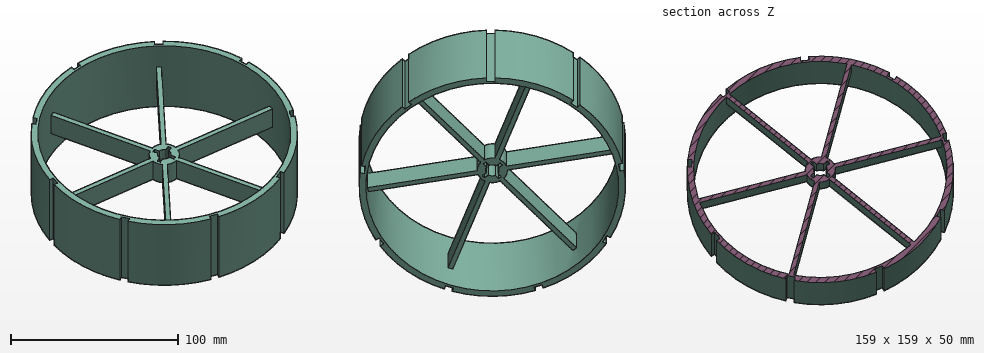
import cadquery as cq

rim_outer_radius = 79.5
rim_wall = 4.0
rim_height = 50.0
rim_inner_radius = rim_outer_radius - rim_wall

groove_count = 9
groove_width = 5.0
groove_depth = 2.5

web_thickness = 15.0
web_bottom = (rim_height - web_thickness) / 2
hub_radius = 9.0
spoke_count = 6
spoke_width = 3.0

bore_radius = 4.0
keyway_length = 14.0
keyway_width = 2.0


def rim():
    return (
        cq.Workplane("XY")
        .circle(rim_outer_radius)
        .circle(rim_inner_radius)
        .extrude(rim_height)
    )


def groove(angle):
    """Cutter for one groove, running well past the outer surface."""
    floor_radius = rim_outer_radius - groove_depth
    return (
        cq.Workplane("XY")
        .box(2 * groove_depth, groove_width, rim_height, centered=(False, True, False))
        .translate((floor_radius, 0, 0))
        .rotate((0, 0, 0), (0, 0, 1), angle)
    )


def hub():
    return cq.Workplane("XY", origin=(0, 0, web_bottom)).circle(hub_radius).extrude(web_thickness)


def spoke(angle):
    """Flat spoke from the axis to the inside of the rim, slightly embedded in the wall."""
    embed = (rim_wall - groove_depth) / 2
    return (
        cq.Workplane("XY")
        .box(rim_inner_radius + embed, spoke_width, web_thickness, centered=(False, True, False))
        .translate((0, 0, web_bottom))
        .rotate((0, 0, 0), (0, 0, 1), angle)
    )


def shaft_hole():
    plane = cq.Workplane("XY", origin=(0, 0, web_bottom))
    bore = plane.circle(bore_radius).extrude(web_thickness)
    keyway_x = plane.rect(keyway_length, keyway_width).extrude(web_thickness)
    keyway_y = plane.rect(keyway_width, keyway_length).extrude(web_thickness)
    return bore.union(keyway_x).union(keyway_y)


wheel = rim().union(hub())
for i in range(spoke_count):
    wheel = wheel.union(spoke(i * 360 / spoke_count))
for i in range(groove_count):
    wheel = wheel.cut(groove(i * 360 / groove_count))

result = wheel.cut(shaft_hole())